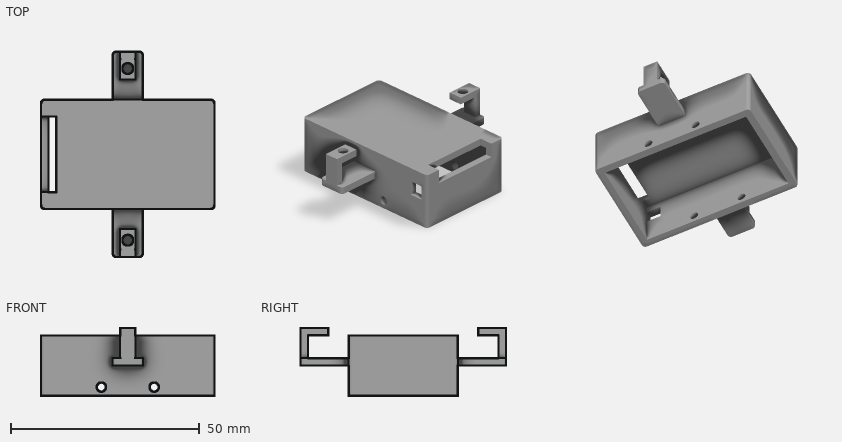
import cadquery as cq

box_length = 46.0
box_width = 29.0
box_height = 16.0
wall = 2.0
corner_radius = 1.0

slot_length = 20.0
slot_reach = 2 * wall
slot_depth = 2 * wall

side_hole_diameter = 2.4
side_hole_spacing = 14.0
side_hole_height = 2.3

window_length = 4.0
window_height = 4.0
window_top = box_height - slot_depth

overall_width = 54.5
tab_width = 8.0
tab_base_height = 8.0
tab_thickness = 2.0
tab_reach = (overall_width - box_width) / 2

hook_width = 4.1
hook_thickness = 2.0
hook_top = box_height + hook_thickness
hook_arm_length = 7.4
hook_hole_diameter = 2.88
hook_hole_inset = 4.5


def block(x_range, y_range, z_range):
    """Axis-aligned block between the given low and high limits."""
    (x_low, x_high), (y_low, y_high), (z_low, z_high) = x_range, y_range, z_range
    size = (x_high - x_low, y_high - y_low, z_high - z_low)
    return cq.Workplane("XY").box(*size, centered=False).translate((x_low, y_low, z_low))


def make_box():
    """Shell with four walls and a roof, open underneath."""
    outside = cq.Workplane("XY").box(box_length, box_width, box_height, centered=(True, True, False))
    outside = outside.edges("|Z").fillet(corner_radius)
    cavity = cq.Workplane("XY").box(
        box_length - 2 * wall,
        box_width - 2 * wall,
        box_height - wall,
        centered=(True, True, False),
    )
    return outside.cut(cavity)


def make_slot():
    """Cutter for the notch in the roof and the -X wall."""
    end_face = -box_length / 2
    return block(
        (end_face, end_face + slot_reach),
        (-slot_length / 2, slot_length / 2),
        (box_height - slot_depth, box_height),
    )


def make_side_holes():
    """Cutters for the holes running along Y through both long walls."""
    half_spacing = side_hole_spacing / 2
    return (
        cq.Workplane("XZ")
        .pushPoints([(-half_spacing, side_hole_height), (half_spacing, side_hole_height)])
        .circle(side_hole_diameter / 2)
        .extrude(box_width / 2, both=True)
    )


def make_window():
    """Cutter for the opening in the +Y wall."""
    end_wall_inside = -box_length / 2 + wall
    return block(
        (end_wall_inside, end_wall_inside + window_length),
        (box_width / 2 - wall, box_width / 2),
        (window_top - window_height, window_top),
    )


def make_hooked_tab():
    """Tab and hook on the -Y wall."""
    root = -box_width / 2
    tip = root - tab_reach
    hook_sides = (-hook_width / 2, hook_width / 2)

    tab = block(
        (-tab_width / 2, tab_width / 2),
        (tip, root),
        (tab_base_height, tab_base_height + tab_thickness),
    )
    tab = tab.edges("|Z and <Y").fillet(corner_radius)

    post = block(hook_sides, (tip, tip + hook_thickness), (tab_base_height, hook_top))
    arm = block(hook_sides, (tip, tip + hook_arm_length), (hook_top - hook_thickness, hook_top))
    arm_hole = (
        cq.Workplane("XY", origin=(0, tip + hook_hole_inset, hook_top - hook_thickness))
        .circle(hook_hole_diameter / 2)
        .extrude(hook_thickness)
    )
    return tab.union(post).union(arm).cut(arm_hole)


box = make_box().cut(make_slot()).cut(make_side_holes()).cut(make_window())
front_tab = make_hooked_tab()
back_tab = front_tab.mirror("XZ")

result = box.union(front_tab).union(back_tab)